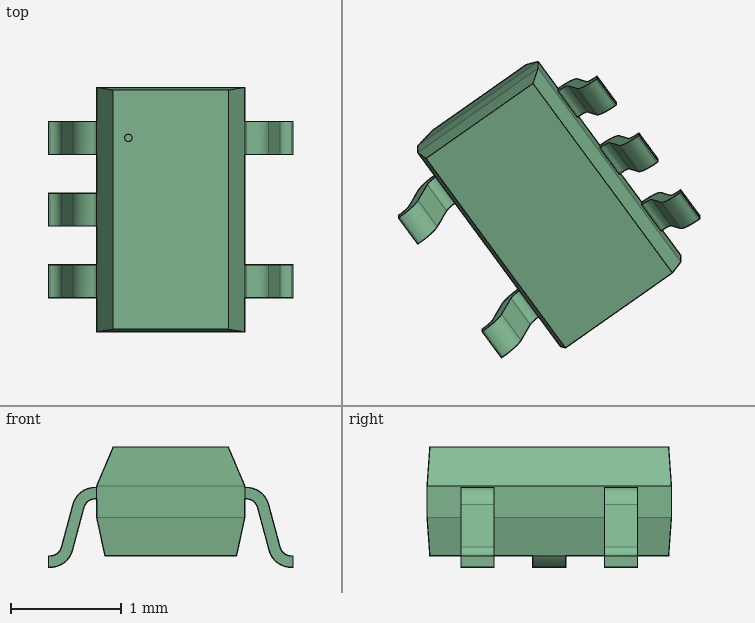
import cadquery as cq
import math

BODY_WIDTH = 1.34
BODY_LENGTH = 2.21
TOP_FACE_WIDTH = 1.04
BOTTOM_FACE_WIDTH = 1.19
FACE_LENGTH = 2.16
BODY_BOTTOM = 0.105
BAND_BOTTOM = 0.45
BAND_TOP = 0.737
BODY_TOP = 1.09

LEAD_SPAN = 2.21
LEAD_WIDTH = 0.30
LEAD_THICKNESS = 0.105
LEAD_TOP = 0.724
LEAD_PITCH = 0.648
INNER_RADIUS = 0.105
OUTER_RADIUS = INNER_RADIUS + LEAD_THICKNESS
TIP_FLAT = 0.015
LEG_TILT = math.radians(15)
LEFT_ROWS = (-1, 0, 1)
RIGHT_ROWS = (-1, 1)

MARKER_DIAMETER = 0.067
MARKER_DEPTH = 0.02
MARKER_X = -0.383
MARKER_Y = LEAD_PITCH


def frustum(z_start, size_start, z_end, size_end):
    """Solid between two centred rectangles at different heights."""
    return (
        cq.Workplane("XY", origin=(0, 0, z_start))
        .rect(*size_start)
        .workplane(offset=z_end - z_start)
        .rect(*size_end)
        .loft(ruled=True)
    )


def make_marker():
    return (
        cq.Workplane("XY", origin=(MARKER_X, MARKER_Y, BODY_TOP - MARKER_DEPTH))
        .circle(MARKER_DIAMETER / 2)
        .extrude(MARKER_DEPTH)
    )


def make_housing():
    band_size = (BODY_WIDTH, BODY_LENGTH)
    band = frustum(BAND_BOTTOM, band_size, BAND_TOP, band_size)
    upper = frustum(BAND_TOP, band_size, BODY_TOP, (TOP_FACE_WIDTH, FACE_LENGTH))
    lower = frustum(BODY_BOTTOM, (BOTTOM_FACE_WIDTH, FACE_LENGTH), BAND_BOTTOM, band_size)
    return band.union(upper).union(lower).cut(make_marker())


def polar(center, radius, angle):
    """Point in the XZ plane at an angle measured from +X towards +Z."""
    return (center[0] + radius * math.cos(angle), center[1] + radius * math.sin(angle))


def make_lead(side, y_center):
    """Lead on the +X (side = 1) or -X (side = -1) wall of the housing."""
    bend_height = LEAD_TOP - 2 * OUTER_RADIUS
    bend_offset = INNER_RADIUS + OUTER_RADIUS
    leg_length = (bend_height + bend_offset * math.sin(LEG_TILT)) / math.cos(LEG_TILT)
    bend_reach = bend_offset * math.cos(LEG_TILT) + leg_length * math.sin(LEG_TILT)

    wall_x = BODY_WIDTH / 2
    tip_x = LEAD_SPAN / 2
    foot_center = (tip_x - TIP_FLAT, OUTER_RADIUS)
    shoulder_center = (foot_center[0] - bend_reach, LEAD_TOP - OUTER_RADIUS)

    shoulder_end = LEG_TILT
    shoulder_start = math.pi / 2
    shoulder_middle = (shoulder_start + shoulder_end) / 2
    foot_end = shoulder_start + math.pi
    foot_start = shoulder_end + math.pi
    foot_middle = shoulder_middle + math.pi

    profile = (
        cq.Workplane("XZ", origin=(0, y_center + LEAD_WIDTH / 2, 0))
        .moveTo(wall_x, LEAD_TOP)
        .lineTo(*polar(shoulder_center, OUTER_RADIUS, shoulder_start))
        .threePointArc(
            polar(shoulder_center, OUTER_RADIUS, shoulder_middle),
            polar(shoulder_center, OUTER_RADIUS, shoulder_end),
        )
        .lineTo(*polar(foot_center, INNER_RADIUS, foot_start))
        .threePointArc(
            polar(foot_center, INNER_RADIUS, foot_middle),
            polar(foot_center, INNER_RADIUS, foot_end),
        )
        .lineTo(tip_x, LEAD_THICKNESS)
        .lineTo(tip_x, 0)
        .lineTo(*polar(foot_center, OUTER_RADIUS, foot_end))
        .threePointArc(
            polar(foot_center, OUTER_RADIUS, foot_middle),
            polar(foot_center, OUTER_RADIUS, foot_start),
        )
        .lineTo(*polar(shoulder_center, INNER_RADIUS, shoulder_end))
        .threePointArc(
            polar(shoulder_center, INNER_RADIUS, shoulder_middle),
            polar(shoulder_center, INNER_RADIUS, shoulder_start),
        )
        .lineTo(wall_x, LEAD_TOP - LEAD_THICKNESS)
        .close()
    )
    lead = profile.extrude(LEAD_WIDTH)
    return lead if side > 0 else lead.mirror("YZ")


housing = make_housing()
marker = make_marker()
leads = []
for side, rows in ((-1, LEFT_ROWS), (1, RIGHT_ROWS)):
    for row in rows:
        leads.append(make_lead(side, row * LEAD_PITCH).val())

result = cq.Compound.makeCompound([housing.val(), marker.val(), *leads])